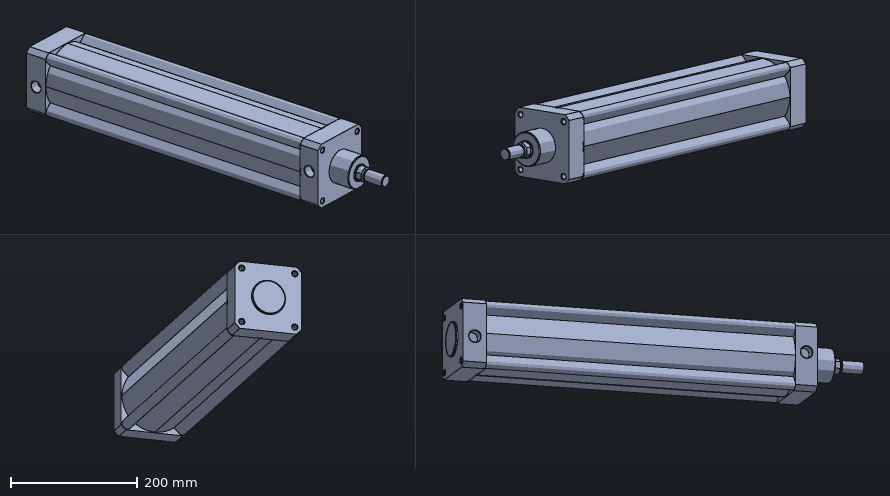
import cadquery as cq
import math

TOTAL_LENGTH = 683.0
BOSS_HEIGHT = 3.5
REAR_CAP_END = 42.5
FRONT_CAP_START = 554.5
FRONT_CAP_END = 591.0
NECK_END = 630.0

CAP_SIDE = 112.0
CAP_CHAMFER = 8.0
BOSS_RADIUS = 28.0
BOSS_CHAMFER = 1.5
NECK_RADIUS = 28.0
NECK_CHAMFER = 1.5

PORT_DIAMETER = 19.0
PORT_DEPTH = 17.0
PORT_CHAMFER = 1.0
PORT_OFFSET = 6.0

SCREW_OFFSET = 44.5
SCREW_HOLE_DIAMETER = 8.0
SCREW_HOLE_DEPTH = 10.0
SCREW_HOLE_CHAMFER = 1.0

BARREL_RADIUS = 54.5
RIDGE_HALF_WIDTH = 10.0
RIDGE_PEAK = 55.0
RIB_RADIUS = 8.0
RIB_CENTER = BARREL_RADIUS - RIB_RADIUS

COLLAR_RADIUS = 14.5
COLLAR_END = 632.0
ROD_RADIUS = 12.0
FLATS_WIDTH = 22.0
FLATS_END = 643.0
ROD_END = 645.0
THREAD_START = 647.0
RELIEF_RADIUS = 9.5
THREAD_RADIUS = 10.0
THREAD_CHAMFER = 1.5


def disc(start, end, radius):
    """Round bar on the X axis."""
    return cq.Workplane("YZ").workplane(offset=start).circle(radius).extrude(end - start)


def cap_block(start, end):
    """Square block along X with its four long edges chamfered."""
    block = cq.Workplane("YZ").workplane(offset=start).rect(CAP_SIDE, CAP_SIDE).extrude(end - start)
    return block.edges("|X").chamfer(CAP_CHAMFER)


def blind_hole(mouth, inward, diameter, depth, chamfer):
    """Cutter for a blind hole with a chamfered mouth, running from mouth along inward."""
    radius = diameter / 2
    point = cq.Vector(*mouth)
    direction = cq.Vector(*inward)
    bore = cq.Solid.makeCylinder(radius, depth, point, direction)
    countersink = cq.Solid.makeCone(radius + chamfer, radius, chamfer, point, direction)
    return bore.fuse(countersink)


def cut_port(cap, x, z):
    """Air port entering the cap from its -Y side."""
    mouth = (x, -CAP_SIDE / 2, z)
    return cap.cut(blind_hole(mouth, (0, 1, 0), PORT_DIAMETER, PORT_DEPTH, PORT_CHAMFER))


def cut_screw_holes(cap, x, inward):
    """Four screw holes entering the cap from its outer face at x."""
    for y in (-SCREW_OFFSET, SCREW_OFFSET):
        for z in (-SCREW_OFFSET, SCREW_OFFSET):
            hole = blind_hole((x, y, z), inward, SCREW_HOLE_DIAMETER, SCREW_HOLE_DEPTH, SCREW_HOLE_CHAMFER)
            cap = cap.cut(hole)
    return cap


def make_rear_cap():
    boss = disc(0, BOSS_HEIGHT, BOSS_RADIUS).faces("<X").chamfer(BOSS_CHAMFER)
    cap = cap_block(BOSS_HEIGHT, REAR_CAP_END).union(boss)
    cap = cut_port(cap, (BOSS_HEIGHT + REAR_CAP_END) / 2, -PORT_OFFSET)
    return cut_screw_holes(cap, BOSS_HEIGHT, (1, 0, 0))


def make_front_cap():
    neck = disc(FRONT_CAP_END, NECK_END, NECK_RADIUS).faces(">X").chamfer(NECK_CHAMFER)
    cap = cap_block(FRONT_CAP_START, FRONT_CAP_END).union(neck)
    cap = cut_port(cap, (FRONT_CAP_START + FRONT_CAP_END) / 2, PORT_OFFSET)
    cap = cut_screw_holes(cap, FRONT_CAP_END, (-1, 0, 0))
    rod_bore = disc(FRONT_CAP_START, NECK_END, ROD_RADIUS)
    return cap.cut(rod_bore)


def make_barrel():
    length = FRONT_CAP_START - REAR_CAP_END
    base = cq.Workplane("YZ").workplane(offset=REAR_CAP_END)
    barrel = base.circle(BARREL_RADIUS).extrude(length)

    ridge_foot = math.sqrt(BARREL_RADIUS**2 - RIDGE_HALF_WIDTH**2)
    ridge = (
        base.moveTo(0, 0)
        .lineTo(RIDGE_HALF_WIDTH, ridge_foot)
        .lineTo(0, RIDGE_PEAK)
        .lineTo(-RIDGE_HALF_WIDTH, ridge_foot)
        .close()
        .extrude(length)
    )
    reach = math.sqrt(2) * RIB_CENTER
    rib = base.center(0, reach / 2).rect(2 * RIB_RADIUS, reach).extrude(length)
    rib_end = base.center(0, reach).circle(RIB_RADIUS).extrude(length)
    rib = rib.union(rib_end)

    for quarter in range(4):
        angle = 90 * quarter
        barrel = barrel.union(ridge.rotate((0, 0, 0), (1, 0, 0), angle))
        barrel = barrel.union(rib.rotate((0, 0, 0), (1, 0, 0), angle + 45))
    return barrel


def make_rod():
    rod = disc(FRONT_CAP_START, ROD_END, ROD_RADIUS)
    rod = rod.faces(">X").chamfer(ROD_END - FLATS_END, ROD_RADIUS - THREAD_RADIUS)

    flats_length = FLATS_END - COLLAR_END
    flats_middle = (COLLAR_END + FLATS_END) / 2
    around = cq.Workplane("XY").box(flats_length, 2 * ROD_RADIUS, 2 * ROD_RADIUS)
    between = cq.Workplane("XY").box(flats_length, FLATS_WIDTH, 2 * ROD_RADIUS)
    rod = rod.cut(around.cut(between).translate((flats_middle, 0, 0)))

    collar = disc(NECK_END, COLLAR_END, COLLAR_RADIUS)
    thread = disc(THREAD_START, TOTAL_LENGTH, THREAD_RADIUS).faces(">X").chamfer(THREAD_CHAMFER)
    relief = disc(ROD_END, THREAD_START, RELIEF_RADIUS)
    return rod.union(collar).union(relief).union(thread)


rear_cap = make_rear_cap()
barrel = make_barrel()
front_cap = make_front_cap()
rod = make_rod()

result = cq.Compound.makeCompound([rear_cap.val(), barrel.val(), front_cap.val(), rod.val()])